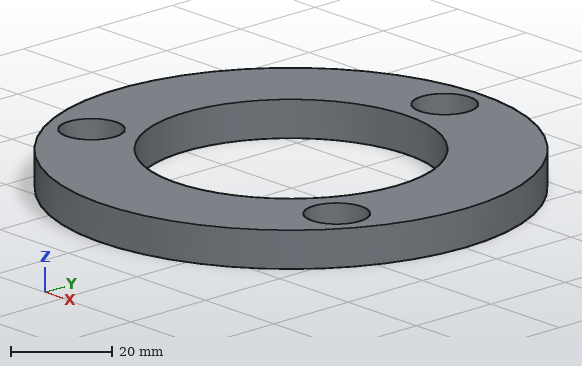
import cadquery as cq

outer_diameter = 101.6
bore_diameter = 62.0
thickness = 8.1

hole_count = 3
hole_diameter = 13.2
hole_circle_radius = 41.4
first_hole_angle = 90.0
full_turn = 360.0

ring = (
    cq.Workplane("XY")
    .circle(outer_diameter / 2)
    .circle(bore_diameter / 2)
    .extrude(thickness)
)

mounting_holes = (
    cq.Workplane("XY")
    .polarArray(hole_circle_radius, first_hole_angle, full_turn, hole_count)
    .circle(hole_diameter / 2)
    .extrude(thickness)
)

result = ring.cut(mounting_holes)